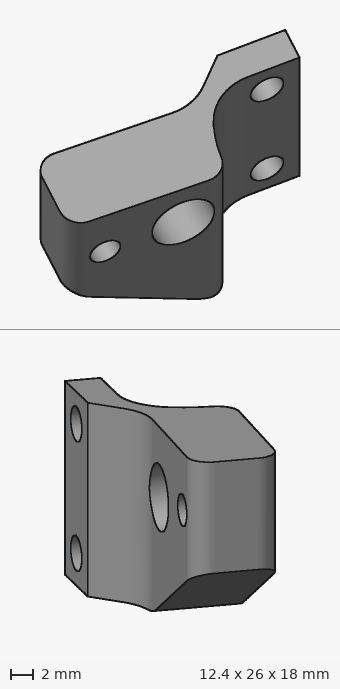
import cadquery as cq
import math

width = 12.43
length = 26.0
height = 18.0

block_width = 8.0
block_left = width - block_width
corner_radius = 2.0
slope_angle = 30.0
slope_start = 13.25
slope_blend_radius = 5.0

arm_lean = 2.0
arm_thickness = 3.25
arm_left_length = 6.6
arm_right_length = 5.0

neck_angle = 46.5
neck_radius = 5.0
neck_end = 13.29
shoulder_join = (6.86, 16.22)
shoulder_end_y = 15.42

arm_hole_diameter = 3.2
arm_hole_from_back = 3.28
arm_hole_margin = 3.0
pin_hole_diameter = 2.9
pin_hole_y = 3.5
pin_hole_z = 12.6
bore_diameter = 6.0
bore_y = 11.0
bore_z = 11.45
bore_tilt = 10.9


def lean_shift(distance):
    """Sideways shift of the arm at a distance from its back end."""
    return distance * math.tan(math.radians(arm_lean))


def make_body():
    """Plan outline extruded to full height, with rounded block corners."""
    neck = math.radians(neck_angle)
    neck_start = (
        block_left - neck_radius * (1 - math.cos(neck)),
        neck_end + neck_radius * math.sin(neck),
    )
    neck_middle = (
        block_left - neck_radius * (1 - math.cos(neck / 2)),
        neck_end + neck_radius * math.sin(neck / 2),
    )
    arm_right_end = (arm_thickness + lean_shift(arm_right_length), length - arm_right_length)
    body = (
        cq.Workplane("XY")
        .moveTo(0, length)
        .lineTo(arm_thickness, length)
        .lineTo(*arm_right_end)
        .tangentArcPoint(shoulder_join, relative=False)
        .tangentArcPoint((width, shoulder_end_y), relative=False)
        .lineTo(width, 0)
        .lineTo(block_left, 0)
        .lineTo(block_left, neck_end)
        .threePointArc(neck_middle, neck_start)
        .lineTo(lean_shift(arm_left_length), length - arm_left_length)
        .close()
        .extrude(height)
    )
    body = body.edges("|Z and <Y").fillet(corner_radius)
    return body.edges("|Z and >X").edges(">Y").fillet(corner_radius)


def make_slope_cutter():
    """Wedge below the sloping underside, blended into the flat bottom."""
    slope = math.radians(slope_angle)
    blend = slope_blend_radius
    tangent_length = blend * math.tan(slope / 2)
    blend_start = slope_start + tangent_length
    blend_middle = (blend_start - blend * math.sin(slope / 2), blend * (1 - math.cos(slope / 2)))
    blend_end = (blend_start - blend * math.sin(slope), blend * (1 - math.cos(slope)))
    return (
        cq.Workplane("YZ")
        .moveTo(0, 0)
        .lineTo(blend_start, 0)
        .threePointArc(blend_middle, blend_end)
        .lineTo(0, slope_start * math.tan(slope))
        .close()
        .extrude(width)
    )


def make_hole(diameter, entry, direction):
    """Through-hole cutter centred on its entry point in the left face."""
    axis = cq.Vector(*direction).normalized()
    start = cq.Vector(*entry) - axis * width
    return cq.Solid.makeCylinder(diameter / 2, 2 * width, start, axis)


result = make_body().cut(make_slope_cutter())

lean = math.radians(arm_lean)
for hole_z in (arm_hole_margin, height - arm_hole_margin):
    arm_entry = (lean_shift(arm_hole_from_back), length - arm_hole_from_back, hole_z)
    result = result.cut(make_hole(arm_hole_diameter, arm_entry, (math.cos(lean), math.sin(lean), 0)))

result = result.cut(make_hole(pin_hole_diameter, (block_left, pin_hole_y, pin_hole_z), (1, 0, 0)))

tilt = math.radians(bore_tilt)
bore_direction = (math.cos(tilt), 0, math.sin(tilt))
result = result.cut(make_hole(bore_diameter, (block_left, bore_y, bore_z), bore_direction))